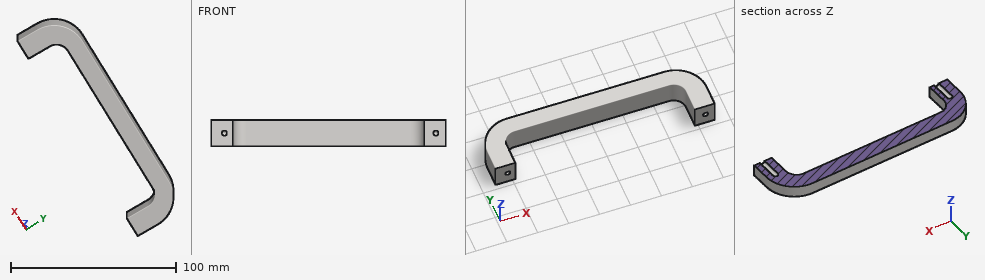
import cadquery as cq
import math

length = 142.0
depth = 34.0
height = 16.0

leg_width = 13.0
grip_thickness = 11.0
outer_radius = 20.0
inner_radius = 8.0
edge_radius = 0.5

hole_spacing = 128.0
hole_offset = 1.0
hole_diameter = 3.1
hole_depth = 15.0
drill_point_angle = 118.0


def rounded_block(width, y_start, y_end, radius):
    """Full-height block centred on X, with its two back corners rounded."""
    return (
        cq.Workplane("XY")
        .center(0, (y_start + y_end) / 2)
        .rect(width, y_end - y_start)
        .extrude(height / 2, both=True)
        .edges("|Z and >Y")
        .fillet(radius)
    )


def handle_body():
    """U-shaped bar with the long edges of its upper and lower faces rounded."""
    outside = rounded_block(length, 0, depth, outer_radius)
    opening = rounded_block(length - 2 * leg_width, 0, depth - grip_thickness, inner_radius)
    body = outside.cut(opening)
    return body.faces("|Z").edges("not <Y").fillet(edge_radius)


def drilled_hole(x):
    """Cylinder with a conical drill point, running back from the leg end at x."""
    radius = hole_diameter / 2
    point_length = radius / math.tan(math.radians(drill_point_angle / 2))
    return (
        cq.Workplane("XY")
        .moveTo(0, 0)
        .lineTo(radius, 0)
        .lineTo(radius, hole_depth)
        .lineTo(0, hole_depth + point_length)
        .close()
        .revolve(360, (0, 0, 0), (0, 1, 0))
        .translate((x, 0, 0))
    )


result = handle_body()
for side in (-1, 1):
    result = result.cut(drilled_hole(hole_offset + side * hole_spacing / 2))

result = result.translate((0, -depth / 2, 0))